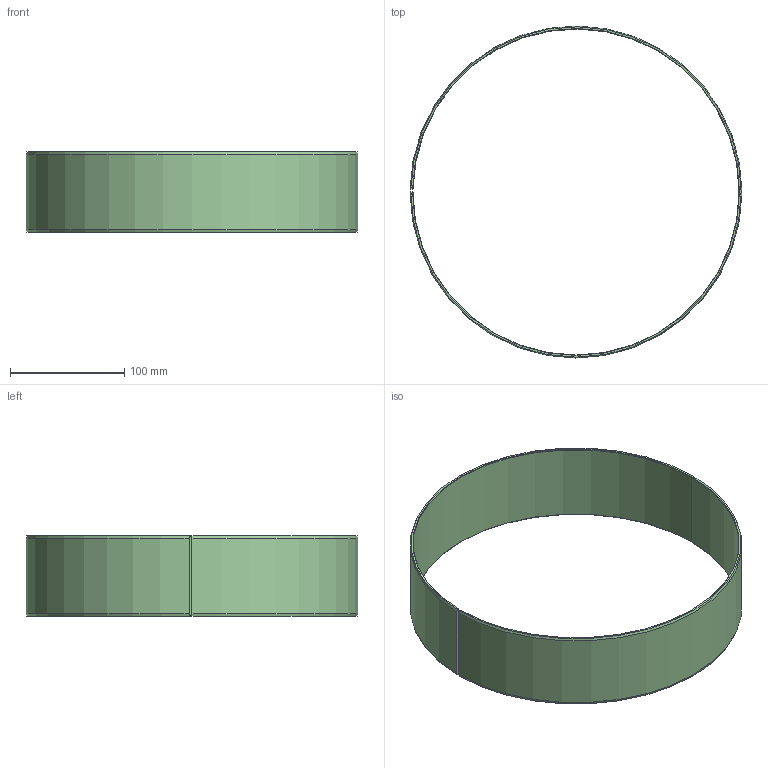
import cadquery as cq
import math

outer_diameter = 290.0
height = 70.0
wall = 2.5
outer_bevel_width = 0.67
outer_bevel_height = 2.0
inner_bevel_width = 0.35
inner_bevel_height = 0.6
split_angle = 1.0

outer_radius = outer_diameter / 2
inner_radius = outer_radius - wall
half_height = height / 2


def make_band():
    """Closed ring about Z, bevelled on its outer and inner rims."""
    outer_rim_radius = outer_radius - outer_bevel_width
    inner_rim_radius = inner_radius + inner_bevel_width
    outer_bevel_start = half_height - outer_bevel_height
    inner_bevel_start = half_height - inner_bevel_height
    section = [
        (inner_rim_radius, -half_height),
        (outer_rim_radius, -half_height),
        (outer_radius, -outer_bevel_start),
        (outer_radius, outer_bevel_start),
        (outer_rim_radius, half_height),
        (inner_rim_radius, half_height),
        (inner_radius, inner_bevel_start),
        (inner_radius, -inner_bevel_start),
    ]
    return cq.Workplane("XZ").polyline(section).close().revolve(360, (0, 0), (0, 1))


def make_split():
    """Wedge from the Z axis through the -X wall, with one face on the XZ plane."""
    reach = outer_diameter
    opening = reach * math.tan(math.radians(split_angle))
    wedge = [(0, 0), (-reach, 0), (-reach, opening)]
    return cq.Workplane("XY").workplane(offset=-half_height).polyline(wedge).close().extrude(height)


result = make_band().cut(make_split())